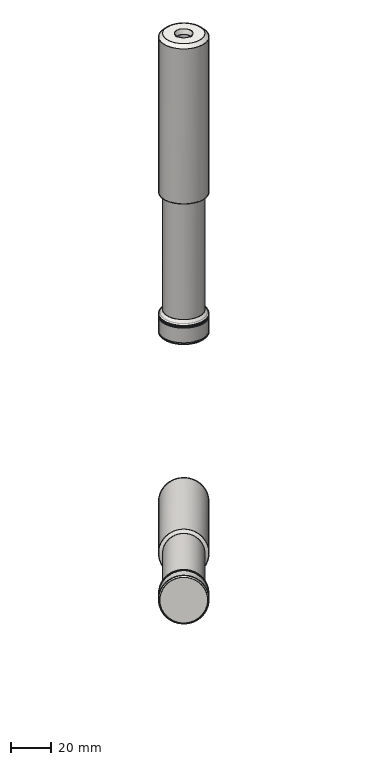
import cadquery as cq

total_height = 170.0
outer_radius = 25.0 / 2
stem_radius = 21.0 / 2

grip_bottom = 80.0
top_chamfer_width = 2.0
top_chamfer_height = 1.9
grip_bottom_cone_height = 0.8

hole_radius = 7.0 / 2
hole_mouth_radius = 9.2 / 2
countersink_depth = 2.5
hole_depth = 20.4
drill_tip_height = 2.0

foot_height = 11.9
foot_top_radius = 23.6 / 2
foot_cone_height = 1.5
foot_chamfer_width = outer_radius - foot_top_radius
foot_chamfer_height = 0.7
recess_radius = foot_top_radius
recess_bottom = 1.4
recess_top = 10.7

ring_gap = 0.7
ring_top = recess_top - ring_gap
ring_bevel_width = 0.2
ring_bevel_height = 0.3


def revolve_profile(points):
    """Revolve a closed (radius, height) outline about the Z axis."""
    return cq.Workplane("XZ").polyline(points).close().revolve(360, (0, 0, 0), (0, 1, 0))


def make_pillar():
    """Stepped round pillar with its grip at the top and its foot at the bottom."""
    return revolve_profile([
        (0, 0),
        (outer_radius - foot_chamfer_width, 0),
        (outer_radius, foot_chamfer_height),
        (outer_radius, recess_bottom),
        (recess_radius, recess_bottom),
        (recess_radius, recess_top),
        (outer_radius, recess_top),
        (outer_radius, foot_height - foot_chamfer_height),
        (foot_top_radius, foot_height),
        (stem_radius, foot_height + foot_cone_height),
        (stem_radius, grip_bottom - grip_bottom_cone_height),
        (outer_radius, grip_bottom),
        (outer_radius, total_height - top_chamfer_height),
        (outer_radius - top_chamfer_width, total_height),
        (0, total_height),
    ])


def make_top_hole():
    """Countersunk blind hole with a conical bottom."""
    hole_bottom = total_height - hole_depth
    return revolve_profile([
        (0, hole_bottom - drill_tip_height),
        (hole_radius, hole_bottom),
        (hole_radius, total_height - countersink_depth),
        (hole_mouth_radius, total_height),
        (0, total_height),
    ])


def make_ring():
    """Ring that fills the recess of the foot, beveled around its top edge."""
    return revolve_profile([
        (recess_radius, recess_bottom),
        (outer_radius, recess_bottom),
        (outer_radius, ring_top - ring_bevel_height),
        (outer_radius - ring_bevel_width, ring_top),
        (recess_radius, ring_top),
    ])


pillar = make_pillar().cut(make_top_hole())
ring = make_ring()
result = cq.Compound.makeCompound([pillar.val(), ring.val()])